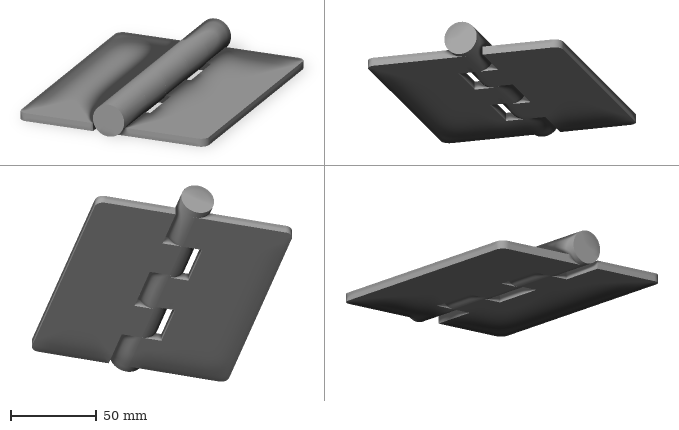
import cadquery as cq

hinge_length = 160.0
hinge_width = 120.0
barrel_diameter = 20.0
knuckle_clearance = 2.0
center_knuckle_length = 29.8
washer_thickness = 2.2
inner_knuckle_length = 28.6

barrel_radius = barrel_diameter / 2
leaf_thickness = barrel_diameter / 4
head_length = leaf_thickness
corner_radius = leaf_thickness
pin_diameter = barrel_diameter / 2
leaf_half_length = hinge_length / 2 - head_length
leaf_width = hinge_width / 2
notch_depth = barrel_radius + knuckle_clearance

center_knuckle_end = center_knuckle_length / 2
washer_end = center_knuckle_end + washer_thickness
inner_knuckle_end = washer_end + inner_knuckle_length

left_knuckles = [
    (-inner_knuckle_end, -washer_end),
    (washer_end, inner_knuckle_end),
]
right_knuckles = [
    (-leaf_half_length, -inner_knuckle_end),
    (-center_knuckle_end, center_knuckle_end),
    (inner_knuckle_end, leaf_half_length),
]


def axis_cylinder(diameter, y_start, y_end):
    """Solid cylinder on the hinge axis between two Y places."""
    return (
        cq.Workplane("XZ", origin=(0, y_start, 0))
        .circle(diameter / 2)
        .extrude(y_start - y_end)
    )


def plate_block(x_start, x_end, y_start, y_end):
    """Flat block of leaf thickness, level with the bottom of the barrel."""
    return cq.Workplane("XY").box(
        x_end - x_start, y_end - y_start, leaf_thickness, centered=False
    ).translate((x_start, y_start, -barrel_radius))


def make_leaf(knuckles):
    """Leaf on the +X side: a rounded plate joined to bored knuckles."""
    leaf = plate_block(notch_depth, leaf_width, -leaf_half_length, leaf_half_length)
    leaf = leaf.edges("|Z and >X").fillet(corner_radius)
    for y_start, y_end in knuckles:
        tab = plate_block(0, notch_depth, y_start, y_end)
        barrel = axis_cylinder(barrel_diameter, y_start, y_end)
        leaf = leaf.union(tab).union(barrel)
    bore = axis_cylinder(pin_diameter, -leaf_half_length, leaf_half_length)
    return leaf.cut(bore)


def make_washer(y_start):
    """Ring around the pin, filling the space between two knuckles."""
    y_end = y_start + washer_thickness
    ring = axis_cylinder(barrel_diameter, y_start, y_end)
    return ring.cut(axis_cylinder(pin_diameter, y_start, y_end))


def make_pin():
    """Pin through all knuckles, with a barrel-sized head on each end."""
    pin = axis_cylinder(pin_diameter, -leaf_half_length, leaf_half_length)
    for head_start in (-hinge_length / 2, leaf_half_length):
        head = axis_cylinder(barrel_diameter, head_start, head_start + head_length)
        pin = pin.union(head)
    return pin


left_leaf = make_leaf(left_knuckles).mirror("YZ")
right_leaf = make_leaf(right_knuckles)
washers = [make_washer(y_start) for y_start in (-washer_end, center_knuckle_end)]
pin = make_pin()

result = cq.Compound.makeCompound([
    left_leaf.val(),
    right_leaf.val(),
    *[washer.val() for washer in washers],
    pin.val(),
])